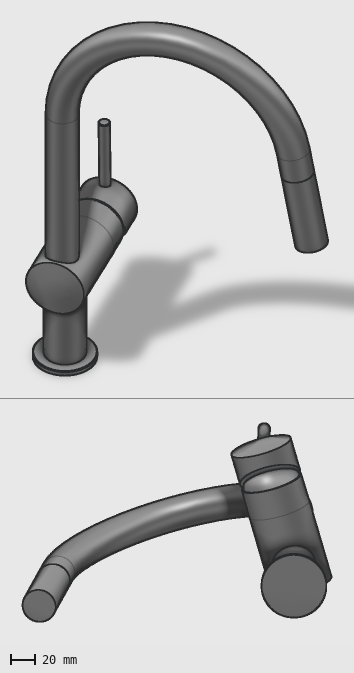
import cadquery as cq
import math

flange_diameter = 54.0
flange_height = 4.5
flange_chamfer = 0.8
column_diameter = 36.0

barrel_diameter = 52.0
barrel_axis_z = 88.5
barrel_front_y = -23.5
crown_height = 3.8
barrel_rear_y = 45.0
sleeve_rear_y = 69.0
sleeve_rear_diameter = 51.0
ball_neck_diameter = 48.5
ball_radius = 25.0
socket_floor_offset = 11.5

handle_diameter = 51.5
handle_gap = 0.8
handle_rear_y = 100.7
relief_start_height = 5.0
relief_angle = 58.0

rod_diameter = 10.0
rod_root_y = 93.0
rod_root_height = 15.0
rod_top_z = 180.5
rod_tilt = 1.6
rod_chamfer = 0.8

spout_diameter = 28.0
spout_y = -6.5
bend_radius = 103.8
overall_height = 378.7
outlet_angle = 10.0
spout_tail_length = 22.7
head_length = 71.5

barrel_radius = barrel_diameter / 2
handle_radius = handle_diameter / 2
bend_center_z = overall_height - spout_diameter / 2 - bend_radius
ball_center_y = sleeve_rear_y - math.sqrt(ball_radius**2 - (ball_neck_diameter / 2) ** 2)
handle_front_y = sleeve_rear_y + handle_gap
column_top_z = barrel_axis_z - socket_floor_offset
spout_bottom_z = barrel_axis_z + socket_floor_offset

outlet_sin = math.sin(math.radians(outlet_angle))
outlet_cos = math.cos(math.radians(outlet_angle))
bend_end_x = bend_radius * (1 + outlet_cos)
bend_end_z = bend_center_z + bend_radius * outlet_sin
spout_end_x = bend_end_x + spout_tail_length * outlet_sin
spout_end_z = bend_end_z - spout_tail_length * outlet_cos


def upright_cylinder(diameter, x, y, bottom_z, top_z):
    return cq.Workplane("XY", origin=(x, y, bottom_z)).circle(diameter / 2).extrude(top_z - bottom_z)


def revolve_about_barrel_axis(profile):
    """Revolve a (radius, y) profile about the barrel axis."""
    return profile.close().revolve(360, (0, 0, 0), (0, 1, 0)).translate((0, 0, barrel_axis_z))


def crown_middle(edge_radius, edge_y, direction):
    """Point halfway out on a shallow spherical end face; direction is its bulge along Y, +1 or -1."""
    sphere_radius = (edge_radius**2 + crown_height**2) / (2 * crown_height)
    half_radius = edge_radius / 2
    drop = sphere_radius - math.sqrt(sphere_radius**2 - half_radius**2)
    return half_radius, edge_y + direction * (crown_height - drop)


def make_base():
    flange = upright_cylinder(flange_diameter, 0, 0, 0, flange_height).faces(">Z").chamfer(flange_chamfer)
    return flange.union(upright_cylinder(column_diameter, 0, 0, 0, column_top_z))


def make_ball():
    return cq.Workplane("XY").sphere(ball_radius).translate((0, ball_center_y, barrel_axis_z))


def make_housing():
    sleeve_rear_radius = sleeve_rear_diameter / 2
    ball_diagonal = ball_radius * math.sqrt(0.5)
    profile = (
        cq.Workplane("XY")
        .moveTo(0, barrel_front_y - crown_height)
        .threePointArc(crown_middle(barrel_radius, barrel_front_y, -1), (barrel_radius, barrel_front_y))
        .lineTo(barrel_radius, barrel_rear_y)
        .tangentArcPoint((sleeve_rear_radius, sleeve_rear_y), relative=False)
        .lineTo(ball_neck_diameter / 2, sleeve_rear_y)
        .threePointArc((ball_diagonal, ball_center_y + ball_diagonal), (0, ball_center_y + ball_radius))
    )
    housing = revolve_about_barrel_axis(profile)
    column_socket = upright_cylinder(column_diameter, 0, 0, 0, column_top_z)
    spout_socket = upright_cylinder(spout_diameter, 0, spout_y, spout_bottom_z, bend_center_z)
    return housing.cut(column_socket).cut(spout_socket)


def make_handle(rod):
    profile = (
        cq.Workplane("XY")
        .moveTo(0, handle_front_y)
        .lineTo(handle_radius, handle_front_y)
        .lineTo(handle_radius, handle_rear_y)
        .threePointArc(crown_middle(handle_radius, handle_rear_y, 1), (0, handle_rear_y + crown_height))
    )
    handle = revolve_about_barrel_axis(profile)
    relief_top_z = barrel_axis_z + relief_start_height
    relief_bottom_z = barrel_axis_z - handle_radius
    relief_length = (relief_top_z - relief_bottom_z) / math.tan(math.radians(relief_angle))
    relief = (
        cq.Workplane("YZ")
        .moveTo(handle_front_y, relief_top_z)
        .lineTo(handle_front_y + relief_length, relief_bottom_z)
        .lineTo(handle_front_y, relief_bottom_z)
        .close()
        .extrude(handle_radius, both=True)
    )
    return handle.cut(make_ball()).cut(relief).cut(rod)


def make_rod():
    root_z = barrel_axis_z + rod_root_height
    length = (rod_top_z - root_z) / math.cos(math.radians(rod_tilt))
    rod = cq.Workplane("XY").circle(rod_diameter / 2).extrude(length).faces(">Z").chamfer(rod_chamfer)
    return rod.rotate((0, 0, 0), (1, 0, 0), rod_tilt).translate((0, rod_root_y, root_z))


def make_spout():
    half_sweep = math.radians((180 - outlet_angle) / 2)
    bend_middle = (
        bend_radius * (1 - math.cos(half_sweep)),
        bend_center_z + bend_radius * math.sin(half_sweep),
    )
    path = (
        cq.Workplane("XZ", origin=(0, spout_y, 0))
        .moveTo(0, spout_bottom_z)
        .lineTo(0, bend_center_z)
        .threePointArc(bend_middle, (bend_end_x, bend_end_z))
        .lineTo(spout_end_x, spout_end_z)
    )
    section = cq.Workplane("XY", origin=(0, spout_y, spout_bottom_z)).circle(spout_diameter / 2)
    return section.sweep(path)


def make_spray_head():
    joint = cq.Plane(
        origin=(spout_end_x, spout_y, spout_end_z),
        xDir=(0, 1, 0),
        normal=(outlet_sin, 0, -outlet_cos),
    )
    return cq.Workplane(joint).circle(spout_diameter / 2).extrude(head_length)


base = make_base()
housing = make_housing()
rod = make_rod()
handle = make_handle(rod)
spout = make_spout()
spray_head = make_spray_head()

result = cq.Compound.makeCompound(
    [base.val(), housing.val(), handle.val(), rod.val(), spout.val(), spray_head.val()]
)